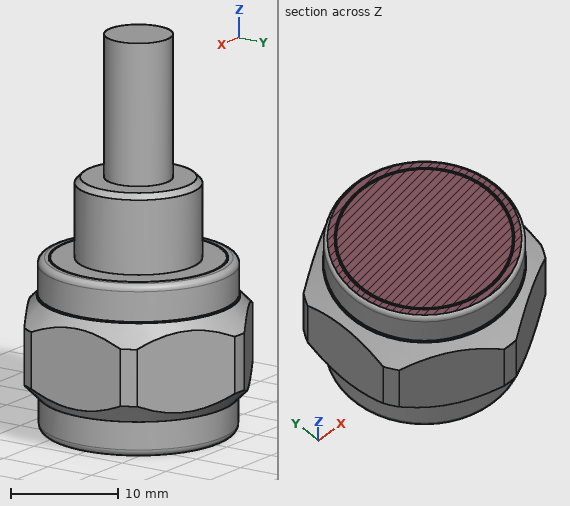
import cadquery as cq
import math

hex_bottom = 3.45
hex_top = 13.1
collar_top = 16.8
sleeve_top = 24.6
cable_top = 38.5

skirt_diameter = 18.7
collar_diameter = 18.85
sleeve_diameter = 11.97
cable_diameter = 6.45

across_flats = 20.65
across_rounded_corners = 23.0
bottom_bevel = 2.1
top_bevel = 1.95

skirt_round = 0.77
collar_round = 0.6
sleeve_chamfer = 0.55

neck_height = 0.1
neck_depth = 0.08

ring_outer_diameter = 16.8
ring_inner_diameter = 16.5
ring_depth = 0.2


def cylinder(diameter, bottom, top):
    """Upright cylinder on the Z axis between two heights."""
    return cq.Workplane("XY").workplane(offset=bottom).circle(diameter / 2).extrude(top - bottom)


def bevelled_hexagon():
    """Hexagon with flats facing +X and -X, rounded corners and 45 degree bevels at both ends."""
    across_sharp_corners = across_flats / math.cos(math.pi / 6)
    prism = (
        cq.Workplane("XY")
        .workplane(offset=hex_bottom)
        .polygon(6, across_sharp_corners)
        .extrude(hex_top - hex_bottom)
        .rotate((0, 0, 0), (0, 0, 1), 30)
    )
    envelope = (
        cylinder(across_rounded_corners, hex_bottom, hex_top)
        .faces("<Z").edges().chamfer(bottom_bevel)
        .faces(">Z").edges().chamfer(top_bevel)
    )
    return prism.intersect(envelope)


def ring_groove():
    """Material removed for the ring groove in the collar's top face."""
    groove_bottom = collar_top - ring_depth
    outer = cylinder(ring_outer_diameter, groove_bottom, collar_top)
    inner = cylinder(ring_inner_diameter, groove_bottom, collar_top)
    return outer.cut(inner)


collar_bottom = hex_top + neck_height
skirt = cylinder(skirt_diameter, 0, hex_bottom).faces("<Z").edges().fillet(skirt_round)
neck = cylinder(collar_diameter - 2 * neck_depth, hex_top, collar_bottom)
collar = cylinder(collar_diameter, collar_bottom, collar_top).faces(">Z").edges().fillet(collar_round)
nut = skirt.union(bevelled_hexagon()).union(neck).union(collar).cut(ring_groove())

sleeve = cylinder(sleeve_diameter, collar_top, sleeve_top).faces(">Z").edges().chamfer(sleeve_chamfer)
cable = cylinder(cable_diameter, sleeve_top, cable_top)

result = nut.union(sleeve).union(cable)